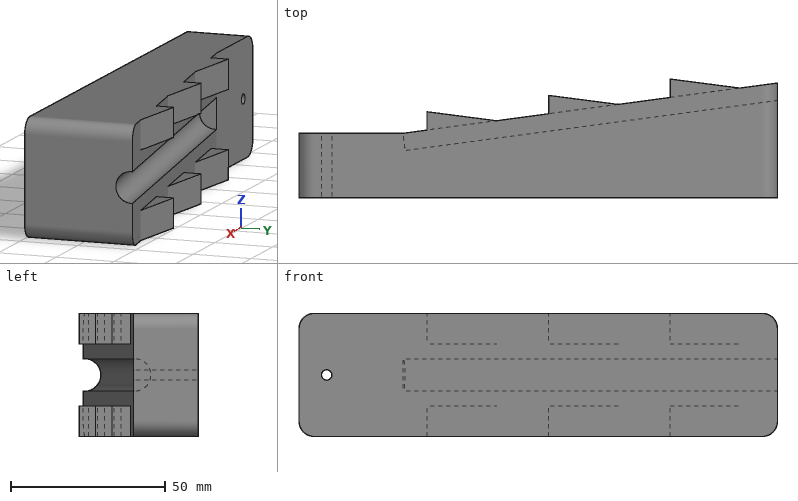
import cadquery as cq
import math

length = 155.22
height = 40.0
depth_max = 38.61
corner_radius = 5.0

shelf_depth = 21.0
ramp_start_x = 33.7
ramp_angle = 7.65
ramp_slope = math.tan(math.radians(ramp_angle))

tooth_count = 3
tooth_pitch = 39.46
last_tooth_x = 120.4
first_tooth_x = last_tooth_x - (tooth_count - 1) * tooth_pitch
tooth_run = 22.6
tooth_rail_width = 10.0

groove_radius = 5.25
groove_axis_drop = 0.4

hole_diameter = 3.3
hole_x = 9.0

mid_z = height / 2


def ramp_depth(x):
    """Y of the ramp surface at a given X."""
    return shelf_depth + ramp_slope * (x - ramp_start_x)


tooth_step = depth_max - ramp_depth(last_tooth_x)


def make_ramp_block():
    """Shelf and ramp over the full height."""
    return (
        cq.Workplane("XY")
        .moveTo(0, 0)
        .lineTo(length, 0)
        .lineTo(length, ramp_depth(length))
        .lineTo(ramp_start_x, shelf_depth)
        .lineTo(0, shelf_depth)
        .close()
        .extrude(height)
    )


def make_tooth(x, z):
    """Wedge standing on the ramp: steep face at x, tapering out toward +X."""
    toe_x = x + tooth_run
    return (
        cq.Workplane("XY", origin=(0, 0, z))
        .moveTo(x, 0)
        .lineTo(x, ramp_depth(x) + tooth_step)
        .lineTo(toe_x, ramp_depth(toe_x))
        .lineTo(toe_x, 0)
        .close()
        .extrude(tooth_rail_width)
    )


def make_corner_envelope():
    """Full-size block with the four edges along Y rounded."""
    return (
        cq.Workplane("XY")
        .box(length, depth_max, height, centered=False)
        .edges("|Y")
        .fillet(corner_radius)
    )


def make_groove_cutter():
    """Round-bottomed channel parallel to the ramp, from the ramp foot out through the +X end."""
    ramp_direction = cq.Vector(1, ramp_slope, 0)
    plane = cq.Plane(
        origin=(ramp_start_x, shelf_depth, mid_z),
        xDir=(0, 0, -1),
        normal=ramp_direction,
    )
    return (
        cq.Workplane(plane)
        .moveTo(-groove_radius, depth_max)
        .lineTo(-groove_radius, -groove_axis_drop)
        .threePointArc(
            (0, -groove_axis_drop - groove_radius),
            (groove_radius, -groove_axis_drop),
        )
        .lineTo(groove_radius, depth_max)
        .close()
        .extrude(length)
    )


def make_hole_cutter():
    """Hanging hole through the shelf along Y."""
    return (
        cq.Workplane("XZ", origin=(hole_x, 0, mid_z))
        .circle(hole_diameter / 2)
        .extrude(-depth_max)
    )


body = make_ramp_block()
for rail_z in (0, height - tooth_rail_width):
    for index in range(tooth_count):
        body = body.union(make_tooth(first_tooth_x + index * tooth_pitch, rail_z))

body = body.intersect(make_corner_envelope())
result = body.cut(make_groove_cutter()).cut(make_hole_cutter())